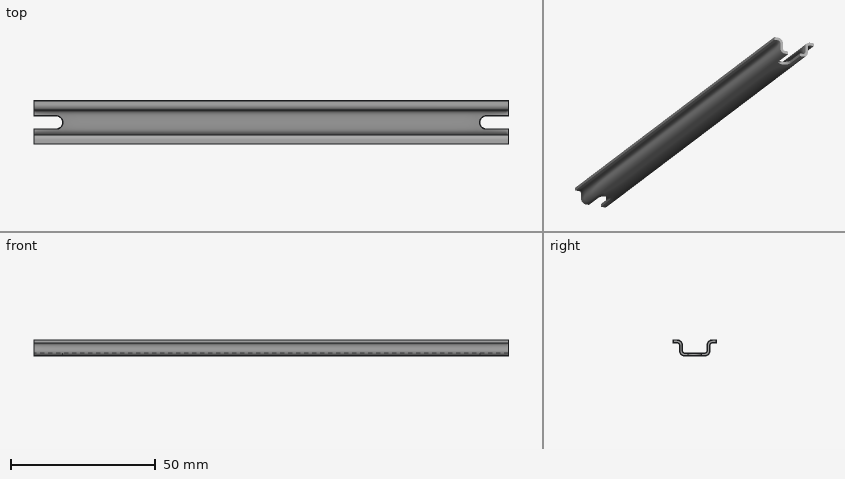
import cadquery as cq

length = 164.0
width = 15.0
height = 5.5

thickness = 1.0
channel_width = 10.5
inner_bend_radius = 0.8
outer_bend_radius = inner_bend_radius + thickness

slot_width = 4.5
slot_depth = 10.0

flange_edge = width / 2
wall_outside = channel_width / 2
wall_inside = wall_outside - thickness
flange_underside = height - thickness


def sharp_rail():
    """Hat section with unrounded bends, its floor resting on Z = 0."""
    return (
        cq.Workplane("YZ")
        .moveTo(-wall_outside, 0)
        .lineTo(wall_outside, 0)
        .lineTo(wall_outside, flange_underside)
        .lineTo(flange_edge, flange_underside)
        .lineTo(flange_edge, height)
        .lineTo(wall_inside, height)
        .lineTo(wall_inside, thickness)
        .lineTo(-wall_inside, thickness)
        .lineTo(-wall_inside, height)
        .lineTo(-flange_edge, height)
        .lineTo(-flange_edge, flange_underside)
        .lineTo(-wall_outside, flange_underside)
        .close()
        .extrude(length / 2, both=True)
    )


def round_bends(body, corners, radius):
    """Round the lengthwise edges at the given (y, z) corners and their mirror images."""
    for y, z in corners:
        for side in (-1, 1):
            edge = cq.selectors.NearestToPointSelector((0, side * y, z))
            body = body.edges("|X").edges(edge).fillet(radius)
    return body


def end_slot_cutter(end):
    """Round-tipped slot centred on a rail end, so that half of it lies in the floor."""
    return (
        cq.Workplane("XY")
        .center(end * length / 2, 0)
        .slot2D(2 * slot_depth, slot_width)
        .extrude(thickness)
    )


outer_corners = [(wall_outside, 0), (wall_inside, height)]
inner_corners = [(wall_inside, thickness), (wall_outside, flange_underside)]

rail = sharp_rail()
rail = round_bends(rail, outer_corners, outer_bend_radius)
rail = round_bends(rail, inner_corners, inner_bend_radius)
for rail_end in (-1, 1):
    rail = rail.cut(end_slot_cutter(rail_end))

result = rail